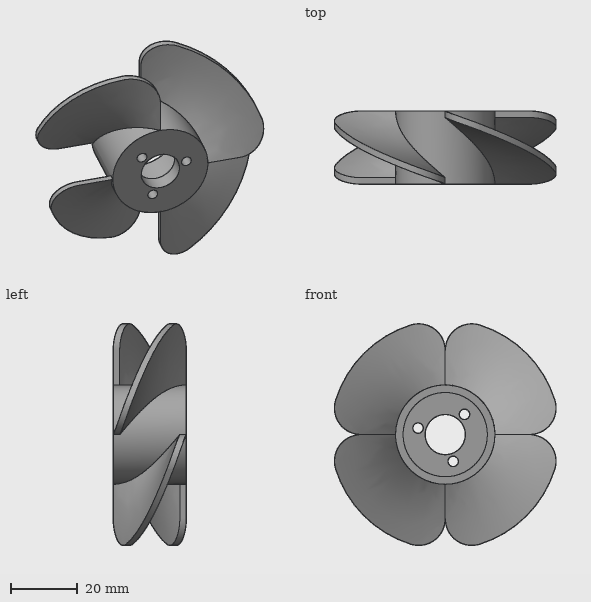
import cadquery as cq
import math


overall_diameter = 66.5
rotor_length = 22.0

hub_radius = 14.9
bore_radius = 12.65
plate_thickness = 5.0
shaft_hole_radius = 6.0
screw_hole_radius = 1.5
screw_circle_radius = 8.4
screw_count = 3
first_screw_angle = 46.5

blade_count = 4
blade_thickness = 2.0
corner_radius = 8.0
sweep_margin = 1.3

blade_rise = rotor_length - blade_thickness
helix_pitch = blade_count * blade_rise
corner_center = overall_diameter / 2 - corner_radius
corner_center_distance = math.hypot(corner_center, corner_radius)
tip_radius = corner_center_distance + corner_radius


def make_hub():
    """Cup with a shaft hole and a ring of screw holes through its end plate."""
    bottom = -rotor_length / 2
    hub = cq.Workplane("XY").workplane(offset=bottom).circle(hub_radius).extrude(rotor_length)
    cavity = (
        cq.Workplane("XY")
        .workplane(offset=bottom + plate_thickness)
        .circle(bore_radius)
        .extrude(rotor_length - plate_thickness)
    )
    plate_holes = (
        cq.Workplane("XY")
        .workplane(offset=bottom)
        .circle(shaft_hole_radius)
        .polarArray(screw_circle_radius, first_screw_angle, 360, screw_count)
        .circle(screw_hole_radius)
        .extrude(plate_thickness)
    )
    return hub.cut(cavity).cut(plate_holes)


def make_helicoid_slab():
    """Left-handed screw sweep of a radial rectangle, from +X at the bottom to -Y at the top."""
    helix = cq.Wire.makeHelix(helix_pitch, blade_rise, hub_radius, lefthand=True)
    inner = hub_radius - sweep_margin
    outer = tip_radius + sweep_margin
    return (
        cq.Workplane("XZ")
        .moveTo(inner, 0)
        .lineTo(outer, 0)
        .lineTo(outer, blade_thickness)
        .lineTo(inner, blade_thickness)
        .close()
        .sweep(cq.Workplane(helix), isFrenet=True)
        .translate((0, 0, -rotor_length / 2))
    )


def make_blade_outline():
    """Prism with the axial outline of one blade, in the +X -Y quadrant."""
    diagonal = math.sqrt(0.5)
    tangent_long = tip_radius * corner_center / corner_center_distance
    tangent_short = tip_radius * corner_radius / corner_center_distance
    corner_turn = math.pi / 2 + math.atan2(corner_radius, corner_center)
    mid_long = corner_center + corner_radius * math.sin(corner_turn / 2)
    mid_short = corner_radius - corner_radius * math.cos(corner_turn / 2)
    return (
        cq.Workplane("XY")
        .workplane(offset=-rotor_length / 2)
        .moveTo(hub_radius, 0)
        .lineTo(corner_center, 0)
        .threePointArc((mid_long, -mid_short), (tangent_long, -tangent_short))
        .threePointArc((tip_radius * diagonal, -tip_radius * diagonal), (tangent_short, -tangent_long))
        .threePointArc((mid_short, -mid_long), (0, -corner_center))
        .lineTo(0, -hub_radius)
        .threePointArc((hub_radius * diagonal, -hub_radius * diagonal), (hub_radius, 0))
        .close()
        .extrude(rotor_length)
    )


def make_blade(index):
    """One blade, turned to its place around the hub."""
    blade = make_helicoid_slab().intersect(make_blade_outline())
    return blade.rotate((0, 0, 0), (0, 0, 1), index * 360 / blade_count)


def lay_axis_along_y(body):
    """Turn a body about X so that its +Z end faces -Y."""
    return body.rotate((0, 0, 0), (1, 0, 0), 90)


def make_bladed_hub():
    """The hub in one piece with the first blade."""
    return make_hub().union(make_blade(0))


bladed_hub = lay_axis_along_y(make_bladed_hub())
blades = [lay_axis_along_y(make_blade(index)) for index in range(1, blade_count)]

result = cq.Compound.makeCompound([bladed_hub.val(), *[blade.val() for blade in blades]])